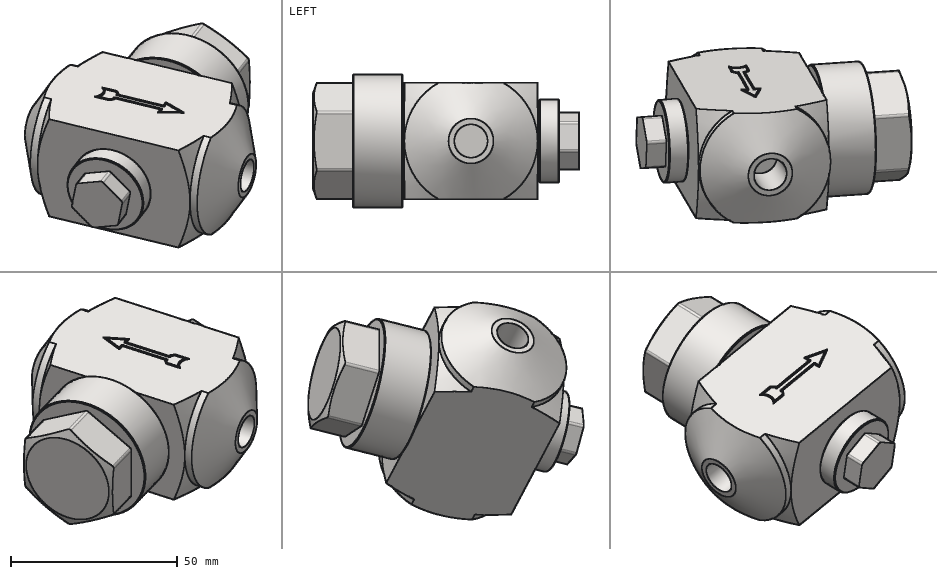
import math

import cadquery as cq

FULL_TURN = 360.0

BODY_LENGTH = 70.0
BODY_DEPTH = 40.0
BODY_HEIGHT = 35.0
RIM_RADIUS = BODY_DEPTH / 2
RIM_INNER_X = 25.0
END_FACE_RADIUS = 6.75
CONE_HALF_ANGLE = 60.0
ENVELOPE_CLEARANCE = 1.0
PORT_DIAMETER = 10.0
PORT_DEPTH = 15.0

NECK_LENGTH = 0.5
EDGE_CHAMFER = 0.3

CAP_NECK_DIAMETER = 24.0
CAP_DIAMETER = 40.0
CAP_LENGTH = 15.0
CAP_HEX_FLATS = 30.5
CAP_HEX_LENGTH = 12.0
CAP_HEX_END_DIAMETER = 28.5
CAP_HEX_BEVEL_ANGLE = 20.0

PLUG_NECK_DIAMETER = 20.0
PLUG_DIAMETER = 25.0
PLUG_LENGTH = 6.0
PLUG_HEX_FLATS = 15.4
PLUG_HEX_LENGTH = 6.0
PLUG_HEX_TURN = 10.0

HEX_SIDES = 6
HEX_HALF_ANGLE = 180.0 / HEX_SIDES
HEX_CORNER_RADIUS = 1.0

ARROW_Y = -0.4
ARROW_TAIL_X = -13.6
ARROW_NOTCH_X = -12.2
ARROW_FLETCHING_X = -8.8
ARROW_SHAFT_X = -7.7
ARROW_HEAD_X = 7.2
ARROW_TIP_X = 14.4
ARROW_TAIL_HALF_WIDTH = 2.7
ARROW_SHOULDER_HALF_WIDTH = 1.6
ARROW_SHAFT_HALF_WIDTH = 1.1
ARROW_HEAD_HALF_WIDTH = 3.0
ARROW_GROOVE_WIDTH = 0.4
ARROW_GROOVE_DEPTH = 0.2


def make_body():
    """Block bounded by a revolved envelope: end cones, rims and bevelled block corners."""
    slope = math.tan(math.radians(CONE_HALF_ANGLE))
    half_length = BODY_LENGTH / 2
    rim_outer_x = half_length - (RIM_RADIUS - END_FACE_RADIUS) / slope
    clear_radius = math.hypot(BODY_DEPTH, BODY_HEIGHT) / 2 + ENVELOPE_CLEARANCE
    bevel_start_x = RIM_INNER_X - (clear_radius - RIM_RADIUS) / slope
    right_half = [
        (bevel_start_x, clear_radius),
        (RIM_INNER_X, RIM_RADIUS),
        (rim_outer_x, RIM_RADIUS),
        (half_length, END_FACE_RADIUS),
        (half_length, 0),
    ]
    left_half = [(-x, r) for x, r in reversed(right_half)]
    profile = cq.Workplane("XY").polyline(right_half + left_half).close()
    envelope = profile.revolve(FULL_TURN, (0, 0, 0), (1, 0, 0))
    return cq.Workplane("XY").box(BODY_LENGTH, BODY_DEPTH, BODY_HEIGHT).intersect(envelope)


def make_port(side):
    """Blind bore entering the end face on the given side of X."""
    start_x = BODY_LENGTH / 2 - PORT_DEPTH
    start_plane = cq.Workplane("YZ").workplane(offset=side * start_x)
    return start_plane.circle(PORT_DIAMETER / 2).extrude(side * PORT_DEPTH)


def y_workplane(y, side):
    """Plane at the given Y whose normal points outward along side * Y."""
    return cq.Workplane(cq.Plane(origin=(0, y, 0), xDir=(1, 0, 0), normal=(0, side, 0)))


def make_hex(y, side, flats, length, turn):
    """Hexagonal prism with rounded corners; one corner points along Z when turn is zero."""
    across_corners = flats / math.cos(math.radians(HEX_HALF_ANGLE))
    hexagon = y_workplane(y, side).polygon(HEX_SIDES, across_corners).extrude(length)
    rounded = hexagon.edges("|Y").fillet(HEX_CORNER_RADIUS)
    return rounded.rotate((0, 0, 0), (0, 1, 0), HEX_HALF_ANGLE + turn)


def make_collar(side, neck_diameter, diameter, length):
    """Neck and chamfered round collar on the given Y side of the body."""
    face_y = side * BODY_DEPTH / 2
    neck = y_workplane(face_y, side).circle(neck_diameter / 2).extrude(NECK_LENGTH)
    collar = y_workplane(face_y + side * NECK_LENGTH, side).circle(diameter / 2).extrude(length)
    return neck.union(collar.faces("<Y or >Y").edges().chamfer(EDGE_CHAMFER))


def make_cap():
    """Collar and wrench hexagon with a turned bevel at its outer end."""
    collar = make_collar(1, CAP_NECK_DIAMETER, CAP_DIAMETER, CAP_LENGTH)
    hex_y = BODY_DEPTH / 2 + NECK_LENGTH + CAP_LENGTH
    end_y = hex_y + CAP_HEX_LENGTH
    hexagon = make_hex(hex_y, 1, CAP_HEX_FLATS, CAP_HEX_LENGTH, 0)
    end_radius = CAP_HEX_END_DIAMETER / 2
    base_radius = end_radius + CAP_HEX_LENGTH / math.tan(math.radians(CAP_HEX_BEVEL_ANGLE))
    bevel_cone = (
        cq.Workplane("XY")
        .polyline([(0, hex_y), (base_radius, hex_y), (end_radius, end_y), (0, end_y)])
        .close()
        .revolve(FULL_TURN, (0, 0, 0), (0, 1, 0))
    )
    return collar.union(hexagon.intersect(bevel_cone))


def make_plug():
    """Collar and small wrench hexagon."""
    collar = make_collar(-1, PLUG_NECK_DIAMETER, PLUG_DIAMETER, PLUG_LENGTH)
    hex_y = -(BODY_DEPTH / 2 + NECK_LENGTH + PLUG_LENGTH)
    return collar.union(make_hex(hex_y, -1, PLUG_HEX_FLATS, PLUG_HEX_LENGTH, PLUG_HEX_TURN))


def make_arrow_groove():
    """Cutter for the arrow outline, pointing along +X."""
    upper_edge = [
        (ARROW_TAIL_X, ARROW_TAIL_HALF_WIDTH),
        (ARROW_FLETCHING_X, ARROW_TAIL_HALF_WIDTH),
        (ARROW_SHAFT_X, ARROW_SHOULDER_HALF_WIDTH),
        (ARROW_SHAFT_X, ARROW_SHAFT_HALF_WIDTH),
        (ARROW_HEAD_X, ARROW_SHAFT_HALF_WIDTH),
        (ARROW_HEAD_X, ARROW_HEAD_HALF_WIDTH),
    ]
    lower_edge = [(x, -y) for x, y in reversed(upper_edge)]
    floor_z = BODY_HEIGHT / 2 - ARROW_GROOVE_DEPTH
    outline = (
        cq.Workplane("XY", origin=(0, ARROW_Y, floor_z))
        .polyline(upper_edge + [(ARROW_TIP_X, 0)] + lower_edge)
        .threePointArc((ARROW_NOTCH_X, 0), upper_edge[0])
        .close()
    )
    outer_wire = outline.val()
    inner_wire = outer_wire.offset2D(-ARROW_GROOVE_WIDTH, "intersection")[0]
    groove = cq.Solid.extrudeLinear(outer_wire, [inner_wire], cq.Vector(0, 0, ARROW_GROOVE_DEPTH))
    return cq.Workplane("XY").add(groove)


result = make_body().union(make_cap()).union(make_plug())
for port_side in (-1, 1):
    result = result.cut(make_port(port_side))
result = result.cut(make_arrow_groove())